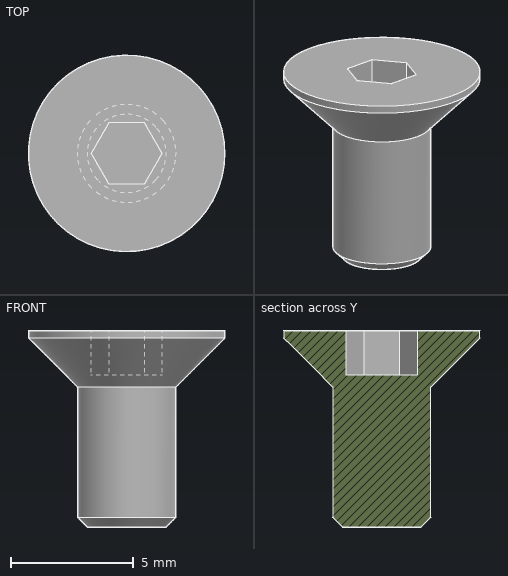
import cadquery as cq
import math

length = 8.0
head_diameter = 8.0
shank_diameter = 4.0
rim_height = 0.3
tip_chamfer = 0.4
socket_across_flats = 2.5
socket_depth = 1.8

head_radius = head_diameter / 2
shank_radius = shank_diameter / 2
cone_height = head_radius - shank_radius
rim_bottom = length - rim_height
cone_bottom = rim_bottom - cone_height


def screw_body():
    """Head, cone, shank and chamfered tip, revolved from a half profile."""
    profile = [
        (0, 0),
        (shank_radius - tip_chamfer, 0),
        (shank_radius, tip_chamfer),
        (shank_radius, cone_bottom),
        (head_radius, rim_bottom),
        (head_radius, length),
        (0, length),
    ]
    return cq.Workplane("XZ").polyline(profile).close().revolve(360, (0, 0), (0, 1))


def hex_socket():
    """Hexagonal prism with two corners on the X axis."""
    across_corners = socket_across_flats / math.cos(math.pi / 6)
    socket_floor = length - socket_depth
    return (
        cq.Workplane("XY", origin=(0, 0, socket_floor))
        .polygon(6, across_corners)
        .extrude(socket_depth)
    )


result = screw_body().cut(hex_socket())